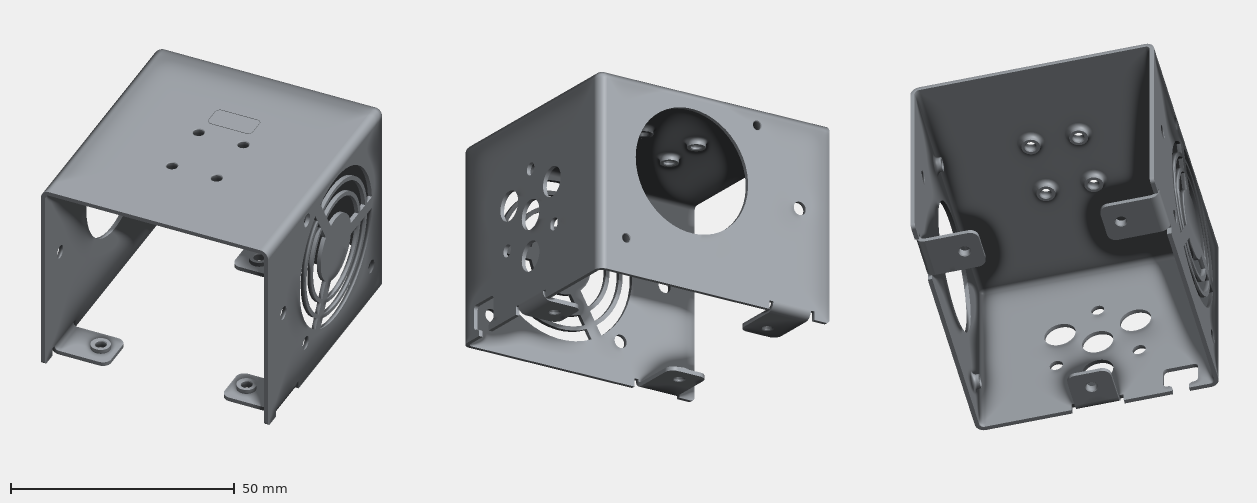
import cadquery as cq
import math

width = 56.0
depth = 61.5
height = 48.0
sheet = 1.0
bend_inner = 1.05
bend_outer = bend_inner + sheet
free_corner = 1.0

front_y = -depth / 2
back_y = depth / 2
left_x = -width / 2
right_x = width / 2

cut_reach = 2 * sheet

tab_width = 10.0
side_tab_length = 14.0
back_tab_length = 10.45
tab_corner = 2.0
tab_relief = 1.0
side_tab_y = front_y + 10.0
stud_end_gap = 4.0
stud_diameter = 4.55
stud_height = 1.05
stud_bore = 2.5

collar_height = 1.55
collar_flare = 1.0
bore_chamfer = 0.2
top_collar_diameter = 4.25
top_bore = 2.5
top_collar_spacing_x = 11.0
top_collar_spacing_y = 14.0
top_collar_center_y = -2.9
side_collar_diameter = 3.25
side_bore = 2.0
side_collar_offset = 17.45

label_length = 11.1
label_width = 5.9
label_corner = 1.2
label_y = 11.1
label_groove = 0.2
label_groove_depth = 0.1

pattern_z = 22.15
vent_diameter = 7.2
vent_circle_radius = 10.0
vent_angles = [30, 150, 270]
screw_diameter = 3.0
screw_circle_radius = 11.0
screw_angles = [90, 210, 330]

window_width = 8.0
window_height = 6.0
window_corner = 1.0
window_x = 19.05
window_z = 4.9
entry_width = 3.9
entry_round = 1.0

opening_y = 6.0
opening_z = 28.6
opening_diameter = 30.0
grille_y = 4.9
grille_z = 26.0
grille_slots = [(8.0, 12.0), (13.0, 15.5), (16.5, 19.0)]
spoke_width = 3.0
spoke_angles = [0, 120, 240]

side_hole_diameter = 3.2
shared_side_hole = (front_y + 8.0, grille_z)
low_collar = (opening_y + side_collar_offset, grille_z - side_collar_offset)
high_collar = (opening_y - side_collar_offset, grille_z + side_collar_offset)
grille_screw_holes = [(-11.0, 10.1), (-10.35, 43.4), low_collar]


def bent_block(inset, radius):
    """Outer box shrunk by inset, with rounded bends, running out past the two open faces."""
    size_x = width - 2 * inset
    size_y = depth + sheet - inset
    size_z = height + sheet - inset
    block = cq.Workplane("XY").box(size_x, size_y, size_z, centered=(True, False, False))
    block = block.translate((0, front_y - sheet, -sheet))
    return block.edges(">Z or (>Y and |Z)").edges("not <Y").fillet(radius)


def make_shell():
    shell = bent_block(0, bend_outer).cut(bent_block(sheet, bend_inner))
    limits = cq.Workplane("XY").box(width, depth, height, centered=(True, True, False))
    shell = shell.intersect(limits)
    return shell.edges("|X").edges("<Y").edges("<Z").fillet(free_corner)


def make_bore(diameter, length):
    """Bore along +Z from Z = 0, countersunk at both ends."""
    radius = diameter / 2
    mouth_radius = radius + bore_chamfer
    return (cq.Workplane("XZ")
            .lineTo(mouth_radius, 0)
            .lineTo(radius, bore_chamfer)
            .lineTo(radius, length - bore_chamfer)
            .lineTo(mouth_radius, length)
            .lineTo(0, length)
            .close()
            .revolve(360, (0, 0, 0), (0, 1, 0)))


def make_collar(diameter):
    """Collar along +Z from within the sheet (outer face at Z = 0), flared at its root."""
    radius = diameter / 2
    root_radius = radius + collar_flare
    root = sheet / 2
    tip = sheet + collar_height
    return (cq.Workplane("XZ")
            .moveTo(0, root)
            .lineTo(root_radius, root)
            .lineTo(root_radius, sheet)
            .radiusArc((radius, sheet + collar_flare), collar_flare)
            .lineTo(radius, tip)
            .lineTo(0, tip)
            .close()
            .revolve(360, (0, 0, 0), (0, 1, 0)))


def make_tab(length):
    """Tab bent from a wall whose outer face is at X = 0, running towards +X."""
    stud_x = length - stud_end_gap
    stud_top = sheet + stud_height
    tab = (cq.Workplane("XZ")
           .moveTo(0, bend_outer)
           .radiusArc((bend_outer, 0), -bend_outer)
           .lineTo(length, 0)
           .lineTo(length, sheet)
           .lineTo(bend_outer, sheet)
           .radiusArc((sheet, bend_outer), bend_inner)
           .close()
           .extrude(tab_width / 2, both=True))
    tab = tab.edges("|Z and >X").fillet(tab_corner)
    stud = cq.Workplane("XY").center(stud_x, 0).circle(stud_diameter / 2).extrude(stud_top)
    return tab.union(stud).cut(make_bore(stud_bore, stud_top).translate((stud_x, 0, 0)))


def on_top(body, x, y):
    """Turn a body built along +Z so that it points down from the top face."""
    return body.rotate((0, 0, 0), (1, 0, 0), 180).translate((x, y, height))


def on_left(body, y, z):
    """Turn a body built along +Z so that it points inwards from the left face."""
    return body.rotate((0, 0, 0), (0, 1, 0), 90).translate((left_x, y, z))


def back_drill(diameter, x, z):
    drill = cq.Workplane("XZ").circle(diameter / 2).extrude(cut_reach, both=True)
    return drill.translate((x, back_y, z))


def side_drill(diameter, wall_x, y, z):
    drill = cq.Workplane("YZ").circle(diameter / 2).extrude(cut_reach, both=True)
    return drill.translate((wall_x, y, z))


def label_plate(inset):
    plate = cq.Workplane("XY").box(label_length - 2 * inset, label_width - 2 * inset,
                                   2 * label_groove_depth)
    return plate.edges("|Z").fillet(label_corner - inset)


def make_window():
    """Rounded window whose sill opens into a slot that runs out through the bottom edge."""
    window = cq.Workplane("XY").box(window_width, 2 * cut_reach, window_height)
    window = window.edges("|Y").fillet(window_corner).translate((0, 0, window_z))
    sill = window_z - window_height / 2
    half = entry_width / 2
    entry = (cq.Workplane("XZ")
             .moveTo(-half, -sheet)
             .lineTo(-half, sill - entry_round)
             .radiusArc((-half - entry_round, sill), -entry_round)
             .lineTo(half + entry_round, sill)
             .radiusArc((half, sill - entry_round), -entry_round)
             .lineTo(half, -sheet)
             .close()
             .extrude(cut_reach, both=True))
    return window.union(entry).translate((window_x, back_y, 0))


def cut_grille(body):
    """Cut ring slots in the right wall, leaving the spokes standing across them."""
    spoke_length = grille_slots[-1][1] + sheet
    spokes = cq.Workplane("YZ")
    for angle in spoke_angles:
        spoke = cq.Workplane("YZ").center(spoke_length / 2, 0).rect(spoke_length, spoke_width)
        spoke = spoke.extrude(cut_reach, both=True)
        spokes = spokes.add(spoke.rotate((0, 0, 0), (1, 0, 0), angle))
    spokes = spokes.combine()
    for inner, outer in grille_slots:
        ring = cq.Workplane("YZ").circle(outer).circle(inner).extrude(cut_reach, both=True)
        body = body.cut(ring.cut(spokes).translate((right_x, grille_y, grille_z)))
    return body


part = make_shell()

tab_places = [
    (0, side_tab_length, (left_x, side_tab_y, 0)),
    (180, side_tab_length, (right_x, side_tab_y, 0)),
    (-90, back_tab_length, (0, back_y, 0)),
]
for angle, length, place in tab_places:
    notch = cq.Workplane("XY").box(2 * bend_outer, tab_width + 2 * tab_relief, 2 * bend_outer)
    part = part.cut(notch.rotate((0, 0, 0), (0, 0, 1), angle).translate(place))
    part = part.union(make_tab(length).rotate((0, 0, 0), (0, 0, 1), angle).translate(place))

collar_length = sheet + collar_height
for side_x in (-1, 1):
    for side_y in (-1, 1):
        x = side_x * top_collar_spacing_x / 2
        y = top_collar_center_y + side_y * top_collar_spacing_y / 2
        part = part.union(on_top(make_collar(top_collar_diameter), x, y))
        part = part.cut(on_top(make_bore(top_bore, collar_length), x, y))

for y, z in (low_collar, high_collar):
    part = part.union(on_left(make_collar(side_collar_diameter), y, z))
    part = part.cut(on_left(make_bore(side_bore, collar_length), y, z))

groove = label_plate(0).cut(label_plate(label_groove))
part = part.cut(groove.translate((0, label_y, height)))

part = part.cut(back_drill(vent_diameter, 0, pattern_z))
back_rings = [
    (vent_diameter, vent_circle_radius, vent_angles),
    (screw_diameter, screw_circle_radius, screw_angles),
]
for diameter, circle_radius, angles in back_rings:
    for angle in angles:
        x = circle_radius * math.cos(math.radians(angle))
        z = pattern_z + circle_radius * math.sin(math.radians(angle))
        part = part.cut(back_drill(diameter, x, z))
part = part.cut(make_window())

part = part.cut(side_drill(opening_diameter, left_x, opening_y, opening_z))
part = cut_grille(part)
part = part.cut(side_drill(side_hole_diameter, left_x, *shared_side_hole))
for y, z in [shared_side_hole] + grille_screw_holes:
    part = part.cut(side_drill(side_hole_diameter, right_x, y, z))

result = part